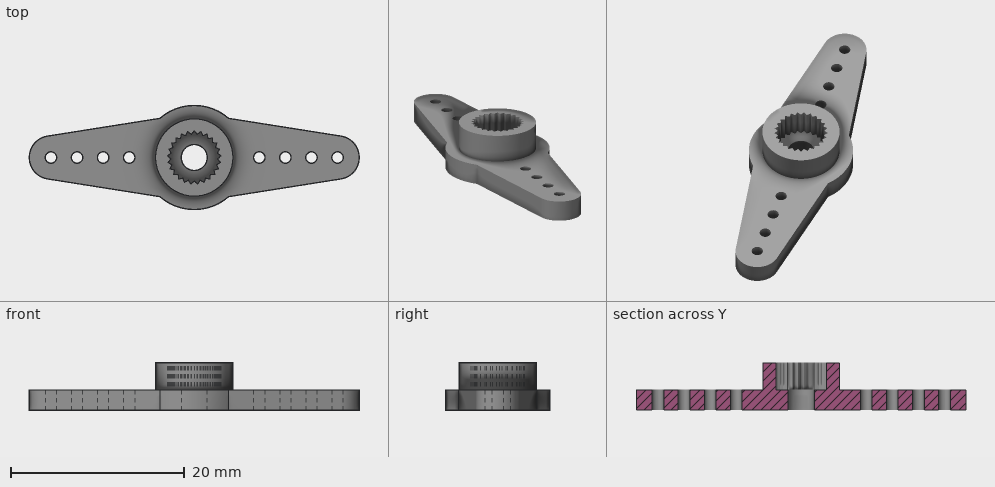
import cadquery as cq
import math

length = 38.0
total_height = 5.5
plate_thickness = 2.35

hub_radius = 6.0
tip_radius = 2.5
tip_center_x = length / 2 - tip_radius
arm_corner_x = 3.95
arm_corner_y = math.sqrt(hub_radius**2 - arm_corner_x**2)

boss_radius = 4.45
bore_radius = 1.5

tooth_count = 25
spline_outer_radius = 3.08
spline_inner_radius = 2.7
socket_depth = total_height - plate_thickness

holes_per_arm = 4
hole_radius = 0.65
hole_pitch = 3.0
first_hole_x = tip_center_x - (holes_per_arm - 1) * hole_pitch


def make_arm():
    """Tapered right-hand arm whose edges run tangent into its round tip."""
    run = tip_center_x - arm_corner_x
    corner_distance = math.hypot(run, arm_corner_y)
    corner_angle = math.atan2(arm_corner_y, -run)
    tangent_angle = corner_angle - math.acos(tip_radius / corner_distance)
    tangent_x = tip_center_x + tip_radius * math.cos(tangent_angle)
    tangent_y = tip_radius * math.sin(tangent_angle)
    return (
        cq.Workplane("XY")
        .moveTo(0, -arm_corner_y)
        .lineTo(arm_corner_x, -arm_corner_y)
        .lineTo(tangent_x, -tangent_y)
        .threePointArc((length / 2, 0), (tangent_x, tangent_y))
        .lineTo(arm_corner_x, arm_corner_y)
        .lineTo(0, arm_corner_y)
        .close()
        .extrude(plate_thickness)
    )


def make_socket():
    """Blind socket with pointed teeth, one groove pointing along +Y."""
    half_pitch = math.pi / tooth_count
    points = []
    for i in range(2 * tooth_count):
        radius = spline_outer_radius if i % 2 == 0 else spline_inner_radius
        angle = math.pi / 2 + i * half_pitch
        points.append((radius * math.cos(angle), radius * math.sin(angle)))
    return (
        cq.Workplane("XY")
        .workplane(offset=plate_thickness)
        .polyline(points)
        .close()
        .extrude(socket_depth)
    )


def make_linkage_holes():
    """Row of through holes on both arms."""
    centers = []
    for side in (-1, 1):
        for i in range(holes_per_arm):
            centers.append((side * (first_hole_x + i * hole_pitch), 0))
    return cq.Workplane("XY").pushPoints(centers).circle(hole_radius).extrude(plate_thickness)


arm = make_arm()
hub = cq.Workplane("XY").circle(hub_radius).extrude(plate_thickness)
boss = cq.Workplane("XY").circle(boss_radius).extrude(total_height)
bore = cq.Workplane("XY").circle(bore_radius).extrude(total_height)

body = hub.union(arm).union(arm.mirror("YZ")).union(boss)
result = body.cut(make_socket()).cut(bore).cut(make_linkage_holes())